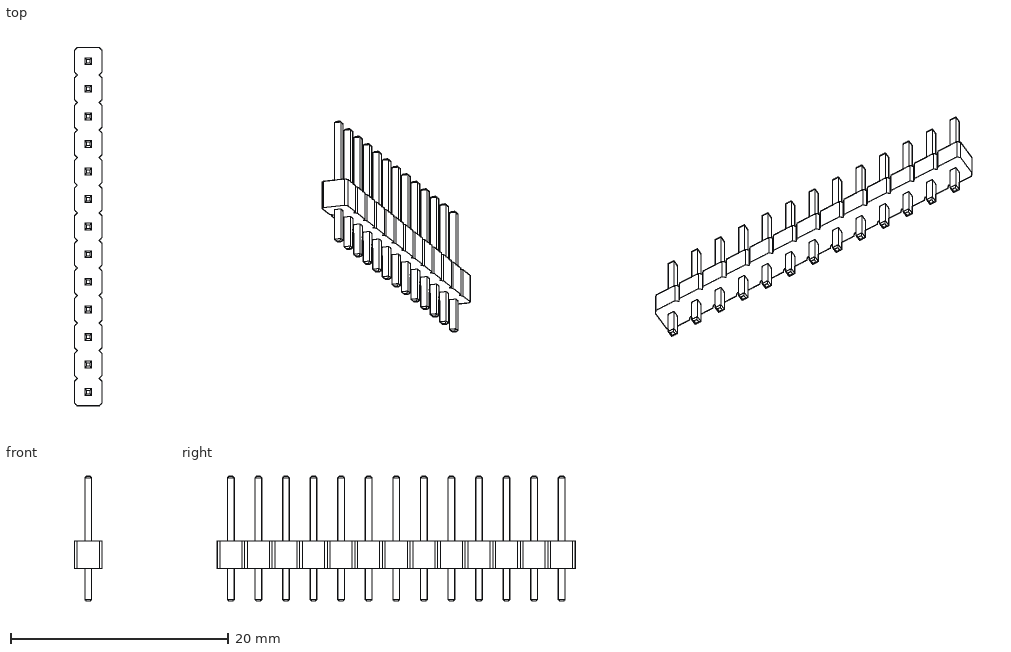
import cadquery as cq

row_length = 33.02
pin_count = 13
pitch = row_length / pin_count

housing_width = pitch
housing_height = pitch
housing_bevel = pitch / 10

pin_width = pitch / 4
pin_length = 11.52
pin_tail = 3.0
pin_tip_bevel = pin_width / 4


def make_housing():
    """One housing segment standing on Z = 0."""
    return (
        cq.Workplane("XY")
        .box(housing_width, pitch, housing_height, centered=(True, True, False))
        .edges("|Z")
        .chamfer(housing_bevel)
    )


def make_pin():
    """One square pin with both tips bevelled on all four sides."""
    return (
        cq.Workplane("XY", origin=(0, 0, -pin_tail))
        .box(pin_width, pin_width, pin_length, centered=(True, True, False))
        .faces("<Z or >Z")
        .chamfer(pin_tip_bevel)
    )


segment = make_housing().union(make_pin())

first_pin_y = -(row_length - pitch) / 2
result = segment.translate((0, first_pin_y, 0))
for index in range(1, pin_count):
    result = result.union(segment.translate((0, first_pin_y + index * pitch, 0)))

result = result.clean()